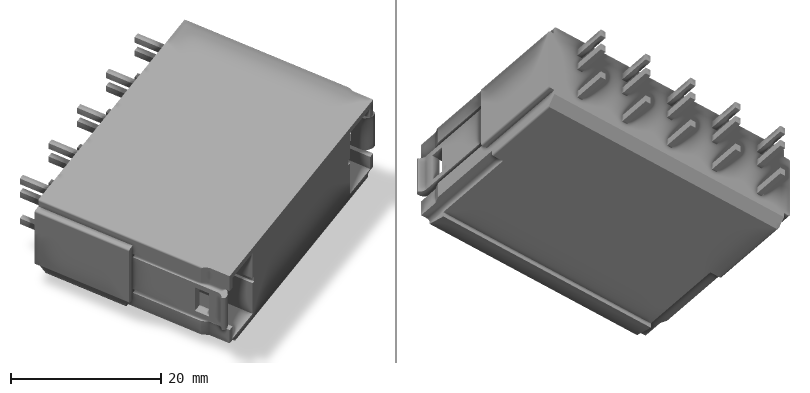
import cadquery as cq

overall_length = 34.25
overall_width = 40.9
overall_height = 14.27
body_length = 29.15
body_height = 13.5
side_y = 19.45
edge_radius = 0.3
rear_chamfer = 1.3

taper_start_x = 25.05
taper_end_x = 26.05
narrow_side_y = 19.0

shroud_length = 14.5
shroud_bottom_z = 2.05
shroud_top_z = 12.23
shroud_radius = 0.3

undercut_start_x = 13.45
undercut_height = 0.75
cove_radius = 0.45
lip_half_width = 17.6
lip_start_x = 26.2
lip_drop = overall_height - body_height

wall_thickness = 1.23
cavity_start_x = shroud_length
cavity_outer_y = side_y - wall_thickness
cavity_depth = 5.3
cavity_bottom_z = 1.0
cavity_top_z = 12.5
groove_bottom_z = 6.8
groove_top_z = 7.7
groove_depth = 0.4

slot_bottom_z = 3.27
slot_top_z = 10.65
latch_bottom_z = 3.95
latch_top_z = 10.02
window_start_x = 24.1
window_end_x = 26.2
window_bottom_z = 4.75
window_top_z = 9.15
flare_start_x = 27.7
flare_middle = (28.2, 19.67)
hook_peak = (28.55, 20.1)
hook_middle = (28.8, 20.0)
hook_end_x = 29.0
hook_top_y = 19.85
hook_bottom_y = 19.25
inner_flare_middle = (28.6, 18.65)
inner_flare_start_x = 27.98

pin_length = overall_length - body_length
pin_width = 0.8
pin_height = 1.05
pin_pitch = 7.6
pin_columns = 5
pin_row_heights = (3.45, 8.45, 11.0)


def box_between(x_range, y_range, z_range):
    """Axis-aligned box spanning the given (low, high) ranges."""
    ranges = (x_range, y_range, z_range)
    size = [high - low for low, high in ranges]
    return cq.Workplane("XY").box(*size, centered=False).translate((x_range[0], y_range[0], z_range[0]))


def both_sides(shape):
    """The shape on the +Y side together with its mirror image on the -Y side."""
    return shape.union(shape.mirror("XZ"))


def make_body():
    """Block with long rounded side edges and a bevel under the rear face."""
    block = box_between((0, body_length), (-side_y, side_y), (0, body_height))
    block = block.edges("|X").fillet(edge_radius)
    bevel = (
        cq.Workplane("XZ")
        .lineTo(rear_chamfer, 0)
        .lineTo(0, rear_chamfer)
        .close()
        .extrude(side_y, both=True)
    )
    return block.cut(bevel)


def make_shroud():
    """Pad rounded along its two outer long edges."""
    outer_y = overall_width / 2
    pad = box_between((0, shroud_length), (cavity_outer_y, outer_y), (shroud_bottom_z, shroud_top_z))
    return pad.edges("|X and >Y").fillet(shroud_radius)


def make_end_taper():
    """Cutter that slopes the side inward and keeps it narrow up to the front end."""
    return (
        cq.Workplane("XY")
        .moveTo(taper_start_x, side_y)
        .lineTo(taper_end_x, narrow_side_y)
        .lineTo(body_length, narrow_side_y)
        .lineTo(body_length, side_y)
        .close()
        .extrude(body_height)
    )


def make_undercut():
    """Cutter for the lower side edge, leaving a cove against the body floor."""
    cutter = box_between((undercut_start_x, body_length), (lip_half_width, side_y), (0, undercut_height))
    return cutter.edges("|X and <Y and >Z").fillet(cove_radius)


def make_lip():
    """Wedge under the front end, fading out towards the front face."""
    return (
        cq.Workplane("XZ")
        .moveTo(lip_start_x, 0)
        .lineTo(lip_start_x, -lip_drop)
        .lineTo(body_length, 0)
        .close()
        .extrude(lip_half_width, both=True)
    )


def make_cavity():
    """Pocket behind the side wall with a shallow groove along its inner face."""
    inner_y = cavity_outer_y - cavity_depth
    x_range = (cavity_start_x, body_length)
    pocket = box_between(x_range, (inner_y, cavity_outer_y), (cavity_bottom_z, cavity_top_z))
    groove = box_between(x_range, (inner_y - groove_depth, inner_y), (groove_bottom_z, groove_top_z))
    return pocket.union(groove)


def make_latch_slot():
    """Opening through the side wall that the latch arm sits in."""
    return box_between((shroud_length, body_length), (cavity_outer_y, side_y), (slot_bottom_z, slot_top_z))


def make_latch():
    """Arm rooted at the end of the shroud, flared into a hook at its tip, with a rectangular window."""
    arm = (
        cq.Workplane("XY", origin=(0, 0, latch_bottom_z))
        .moveTo(shroud_length, cavity_outer_y)
        .lineTo(shroud_length, side_y)
        .lineTo(flare_start_x, side_y)
        .threePointArc(flare_middle, hook_peak)
        .threePointArc(hook_middle, (hook_end_x, hook_top_y))
        .lineTo(hook_end_x, hook_bottom_y)
        .threePointArc(inner_flare_middle, (inner_flare_start_x, cavity_outer_y))
        .close()
        .extrude(latch_top_z - latch_bottom_z)
    )
    window = box_between(
        (window_start_x, window_end_x), (cavity_outer_y, side_y), (window_bottom_z, window_top_z)
    )
    return arm.cut(window)


def make_pins():
    """Three rows of contact pins standing out of the rear face."""
    pins = cq.Workplane("YZ")
    for row_z in pin_row_heights:
        row = (
            cq.Workplane("YZ", origin=(0, 0, row_z))
            .rarray(pin_pitch, 0.4, pin_columns, 1)
            .rect(pin_width, pin_height)
            .extrude(-pin_length)
        )
        pins = pins.add(row)
    return pins.combine()


result = make_body()
for cutter in (make_end_taper(), make_undercut(), make_cavity(), make_latch_slot()):
    result = result.cut(both_sides(cutter))
for addition in (make_shroud(), make_latch()):
    result = result.union(both_sides(addition))
result = result.union(make_lip()).union(make_pins())